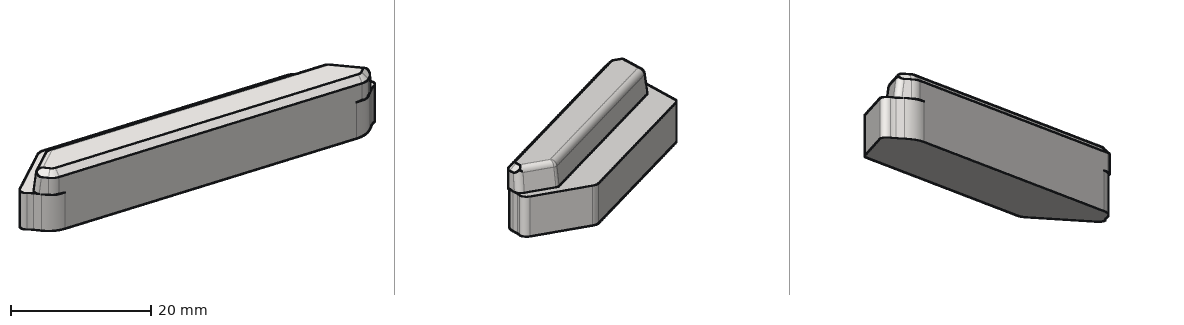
import cadquery as cq
import math

length = 59.6
width = 12.0
height = 9.8
base_height = 5.95
ridge_height = height - base_height

end_slope = math.radians(46.5)
bevel_corner_y = 26.4

tip_radius = 1.0
tip_x = 8.4
tip_y = length / 2 - tip_radius
hollow_radius = 3.0
base_left_radius = 2.0
base_right_radius = 4.4

ridge_left = 5.05
ridge_left_corner_y = 23.85
draft_angle = 7.0
ridge_round = 1.0
ridge_chamfer = 1.0
ridge_right_radius = 2.0


def polar(center, radius, angle):
    return (center[0] + radius * math.cos(angle), center[1] + radius * math.sin(angle))


def mirrored(points):
    """Outline points followed by their mirror images, in walking order."""
    return points + [(x, -y) for x, y in reversed(points)]


def round_edge_near(solid, point, radius):
    """Fillet the single edge whose middle lies closest to the point."""
    return solid.edges(cq.selectors.NearestToPointSelector(point)).fillet(radius)


def make_base():
    """Prism with rounded tips that run through a hollow arc into the 45-degree bevels."""
    tip = (tip_x, tip_y)
    slope_normal = end_slope + math.pi / 2
    bevel_normal = math.pi / 4
    tip_start = polar(tip, tip_radius, slope_normal)
    left_corner_y = tip_start[1] - tip_start[0] * math.tan(end_slope)

    tip_to_bevel = (width + bevel_corner_y - tip_x - tip_y) * math.cos(bevel_normal)
    turn = math.acos((hollow_radius + tip_to_bevel) / (hollow_radius + tip_radius))
    hollow_normal = bevel_normal - turn
    hollow_center = polar(tip, tip_radius + hollow_radius, hollow_normal)
    tip_end = polar(tip, tip_radius, hollow_normal)
    hollow_mid = polar(hollow_center, -hollow_radius, bevel_normal - turn / 2)
    hollow_end = polar(hollow_center, -hollow_radius, bevel_normal)

    half = (
        cq.Workplane("XY")
        .moveTo(0, 0)
        .lineTo(0, left_corner_y)
        .lineTo(*tip_start)
        .threePointArc((tip_x, length / 2), tip_end)
        .threePointArc(hollow_mid, hollow_end)
        .lineTo(width, bevel_corner_y)
        .lineTo(width, 0)
        .close()
        .extrude(base_height)
    )
    half = round_edge_near(half, (0, left_corner_y, base_height / 2), base_left_radius)
    half = round_edge_near(half, (width, bevel_corner_y, base_height / 2), base_right_radius)
    return half.union(half.mirror("XZ"))


def make_ridge():
    """Drafted, rounded -X faces intersected with upright, chamfered +X faces."""
    reach = 2 * width
    slope_end_y = ridge_left_corner_y + (reach - ridge_left) * math.tan(end_slope)
    drafted = (
        cq.Workplane("XY")
        .workplane(offset=base_height)
        .polyline(mirrored([(ridge_left, ridge_left_corner_y), (reach, slope_end_y)]))
        .close()
        .extrude(ridge_height, taper=draft_angle)
    )
    lean = ridge_height / 2 * math.tan(math.radians(draft_angle))
    for side in (-1, 1):
        corner = (ridge_left + lean, side * ridge_left_corner_y, base_height + ridge_height / 2)
        drafted = round_edge_near(drafted, corner, ridge_round)
    drafted = drafted.faces(">Z").edges("not >X").fillet(ridge_round)

    upright = (
        cq.Workplane("XY")
        .workplane(offset=base_height)
        .polyline(mirrored([(0, bevel_corner_y + width), (width, bevel_corner_y)]))
        .close()
        .extrude(ridge_height)
        .edges("|Z and >X")
        .fillet(ridge_right_radius)
        .faces(">Z")
        .edges("not <X")
        .chamfer(ridge_chamfer)
    )
    ridge = drafted.intersect(upright)

    slope = math.tan(end_slope)
    foot_x = (width + bevel_corner_y - ridge_left_corner_y + ridge_left * slope) / (1 + slope)
    foot_y = width + bevel_corner_y - foot_x
    for side in (-1, 1):
        tip_edge = (foot_x, side * foot_y, base_height + ridge_height / 2)
        ridge = round_edge_near(ridge, tip_edge, ridge_round)
    return ridge


result = make_base().union(make_ridge())